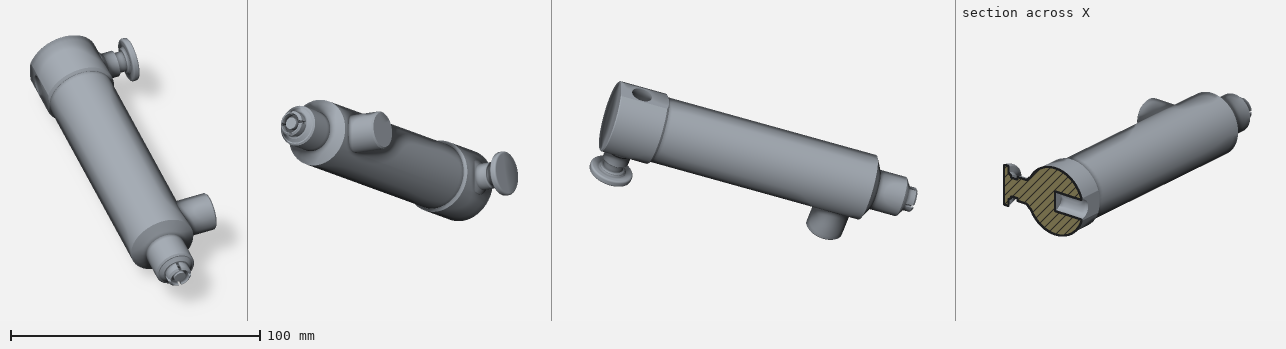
import cadquery as cq

head_diameter = 29.2
head_end = 20.6
head_front_chamfer = 0.4
head_rear_chamfer = 1.0
flat_distance = 13.8
inlet_diameter = 8.4
inlet_depth = flat_distance
fitting_x = 8.9

barrel_diameter = 26.9
barrel_end = 108.9
shoulder_end = 111.8
cap_diameter = 16.3
cap_end = 123.7
cap_chamfer = 0.6
collar_diameter = 14.2
collar_end = 124.8
collar_chamfer = 1.4

tip_diameter = 10.0
tip_end = 128.7
tip_chamfer = 0.8
tip_bore_diameter = 8.0
tip_bore_floor = 125.6
pin_diameter = 4.8
pin_end = 128.3
slot_width = 1.2
slot_count = 4

flange_diameter = 17.8
flange_top = 26.6
flange_thickness = 2.7
flange_rounding = 0.8
hub_base_diameter = 11.7
fitting_diameter = 10.7
hub_taper = 0.5
neck_diameter = 8.4
neck_top = 22.8
neck_bottom = 19.7
neck_edge_chamfer = 0.4
flare_diameter = 13.8
flare_top = 14.8

port_diameter = 15.2
port_x = 98.7
port_top = 24.8
port_chamfer = 0.6


def x_cylinder(diameter, start, end):
    """Solid cylinder on the main axis."""
    return cq.Workplane("YZ").workplane(offset=start).circle(diameter / 2).extrude(end - start)


def y_cylinder(diameter, x, start, end):
    """Solid cylinder along Y, crossing the main axis at the given x."""
    return cq.Workplane("XZ", origin=(x, start, 0)).circle(diameter / 2).extrude(start - end)


def make_head():
    head = x_cylinder(head_diameter, 0, head_end)
    head = head.faces("<X").chamfer(head_front_chamfer)
    head = head.faces(">X").chamfer(head_rear_chamfer)
    beyond_flat = cq.Workplane("XY").box(head_end, head_diameter, head_diameter, centered=(False, True, True))
    return head.cut(beyond_flat.translate((0, -flat_distance - head_diameter / 2, 0)))


def make_barrel():
    shoulder_drop = (barrel_diameter - cap_diameter) / 2
    barrel = x_cylinder(barrel_diameter, 0, shoulder_end)
    return barrel.faces(">X").chamfer(shoulder_end - barrel_end, shoulder_drop)


def make_cap():
    cap = x_cylinder(cap_diameter, barrel_end, cap_end).faces(">X").chamfer(cap_chamfer)
    collar = x_cylinder(collar_diameter, barrel_end, collar_end)
    collar = collar.faces(">X").chamfer(collar_end - cap_end, collar_chamfer)
    return cap.union(collar)


def make_tip():
    tip = x_cylinder(tip_diameter, barrel_end, tip_end).faces(">X").chamfer(tip_chamfer)
    tip_bore = x_cylinder(tip_bore_diameter, tip_bore_floor, tip_end)
    return tip.cut(tip_bore).union(x_cylinder(pin_diameter, barrel_end, pin_end))


def make_tip_slots():
    """Radial slots through the tip wall, reaching slightly below the bore floor."""
    slot = (
        cq.Workplane("XY")
        .box(tip_end - collar_end, tip_diameter, slot_width, centered=(False, False, True))
        .translate((collar_end, 0, 0))
    )
    slots = cq.Workplane("XY")
    for index in range(slot_count):
        slots = slots.union(slot.rotate((0, 0, 0), (1, 0, 0), index * 360 / slot_count))
    return slots.cut(x_cylinder(tip_bore_diameter, collar_end, tip_end))


def make_flanged_fitting():
    """Revolved flange, neck and boss, with a flare where the boss meets the head."""
    flange_radius = flange_diameter / 2
    fitting_radius = fitting_diameter / 2
    flange_bottom = flange_top - flange_thickness
    flare_radius = flare_diameter / 2
    flare_bottom = flare_top - (flare_radius - fitting_radius)
    profile = (
        cq.Workplane("XY")
        .moveTo(0, 0)
        .lineTo(flare_radius, 0)
        .lineTo(flare_radius, flare_bottom)
        .lineTo(fitting_radius, flare_top)
        .lineTo(fitting_radius, neck_bottom - neck_edge_chamfer)
        .lineTo(fitting_radius - neck_edge_chamfer, neck_bottom)
        .lineTo(neck_diameter / 2, neck_bottom)
        .lineTo(neck_diameter / 2, neck_top)
        .lineTo(fitting_radius - neck_edge_chamfer, neck_top)
        .lineTo(fitting_radius, neck_top + neck_edge_chamfer)
        .lineTo(fitting_radius, flange_bottom - hub_taper)
        .lineTo(hub_base_diameter / 2, flange_bottom)
        .lineTo(flange_radius - flange_rounding, flange_bottom)
        .radiusArc((flange_radius, flange_bottom + flange_rounding), -flange_rounding)
        .lineTo(flange_radius, flange_top - flange_rounding)
        .radiusArc((flange_radius - flange_rounding, flange_top), -flange_rounding)
        .lineTo(0, flange_top)
        .close()
    )
    return profile.revolve(360, (0, 0), (0, 1)).translate((fitting_x, 0, 0))


def make_port():
    return y_cylinder(port_diameter, port_x, 0, port_top).faces(">Y").chamfer(port_chamfer)


result = make_head()
for section in (make_barrel(), make_cap(), make_tip(), make_flanged_fitting(), make_port()):
    result = result.union(section)
result = result.cut(make_tip_slots())
inlet = y_cylinder(inlet_diameter, fitting_x, -flat_distance, inlet_depth - flat_distance)
result = result.cut(inlet)